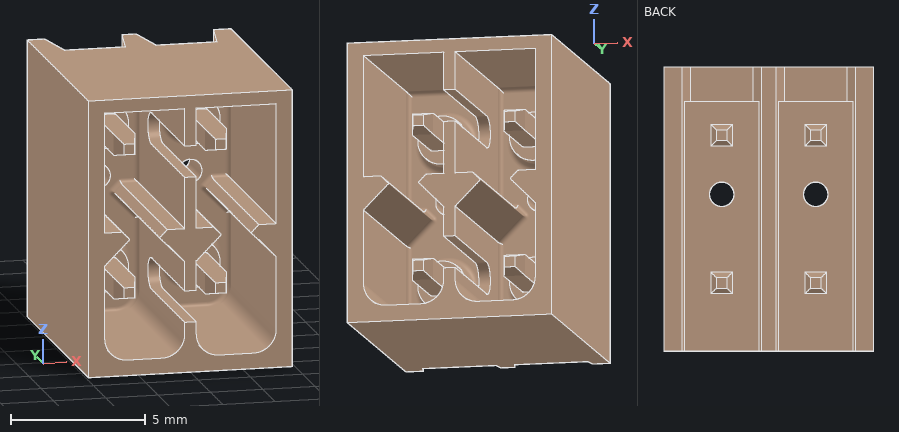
import cadquery as cq
import math


width = 7.8
depth = 10.0
height = 10.6
front_y = -depth / 2
back_y = depth / 2
top_z = height / 2

column_pitch = 3.5
row_pitch = 5.5
column_xs = [-column_pitch / 2, column_pitch / 2]
row_zs = [-row_pitch / 2, row_pitch / 2]

cavity_depth = 7.5
cavity_half_width = 1.53
cavity_top_z = 4.8
cavity_bottom_z = -4.7
cavity_corner_radius = 0.87
cavity_floor_fillet = 0.2
floor_y = front_y + cavity_depth
shoulder_z = 0.21
ridge_gap_half = 0.565
ridge_tip_radius = 0.02
ridge_tip_z = -0.09

pick_margin = 0.1

window_pitch = 5.55
window_height = 1.2
window_depth = 6.0

boss_diameter = 1.83
boss_height = 1.0
boss_base_fillet = 0.3

vent_diameter = 0.9
vent_z = 0.55

relief_half_width_outer = 1.48
relief_half_width_inner = 1.16
relief_depth = 0.5
notch_depth = 1.9
notch_height = 1.3

pin_size = 0.8
pin_tip_size = pin_size / 2
pin_taper_length = 0.8
pin_tail_length = 3.5
pin_tip_recess = 2.5
pin_front_y = front_y + pin_tip_recess
pin_back_y = back_y + pin_tail_length


def plane_along_y(x, y, z):
    """Sketch plane with local x along X and local y along Z; negative extrusions go toward +Y."""
    return cq.Workplane(cq.Plane(origin=(x, y, z), xDir=(1, 0, 0), normal=(0, -1, 0)))


def cavity(x):
    """Cavity cutter with 45-degree ridge flanks, round lower corners and a filleted floor."""
    half = cavity_half_width
    shoulder_x = ridge_gap_half + (shoulder_z - ridge_tip_z)
    flank_end_z = ridge_tip_z - (half - ridge_gap_half)
    right_side = [
        (half, cavity_top_z),
        (half, shoulder_z),
        (shoulder_x, shoulder_z),
        (ridge_gap_half, ridge_tip_z),
        (half, flank_end_z),
        (half, cavity_bottom_z),
    ]
    left_side = [(-px, pz) for px, pz in reversed(right_side)]
    cutter = plane_along_y(x, front_y, 0).polyline(right_side + left_side).close().extrude(-cavity_depth)
    lower_corners = cq.selectors.BoxSelector(
        (x - half - pick_margin, front_y, cavity_bottom_z - pick_margin),
        (x + half + pick_margin, floor_y, cavity_bottom_z + pick_margin),
    )
    cutter = cutter.edges("|Y").edges(lower_corners).fillet(cavity_corner_radius)
    ridge_tips = cq.selectors.BoxSelector(
        (x - ridge_gap_half - pick_margin, front_y, ridge_tip_z - pick_margin),
        (x + ridge_gap_half + pick_margin, floor_y, ridge_tip_z + pick_margin),
    )
    cutter = cutter.edges("|Y").edges(ridge_tips).fillet(ridge_tip_radius)
    return cutter.faces(">Y").edges().fillet(cavity_floor_fillet)


def window(z):
    """Slot cutter through the middle wall, with a half-round inner end."""
    wall = column_pitch - 2 * cavity_half_width
    radius = window_height / 2
    straight_end_y = front_y + window_depth - radius
    return (
        cq.Workplane("YZ", origin=(-wall / 2, 0, z))
        .moveTo(front_y, -radius)
        .lineTo(straight_end_y, -radius)
        .threePointArc((straight_end_y + radius, 0), (straight_end_y, radius))
        .lineTo(front_y, radius)
        .close()
        .extrude(wall)
    )


def boss(x, z):
    """Round boss on the cavity floor, flared by a fillet at its base."""
    radius = boss_diameter / 2
    foot_radius = radius + boss_base_fillet
    flare_center_y = floor_y - boss_base_fillet
    flare_offset = boss_base_fillet * math.sin(math.pi / 4)
    flare_mid = (foot_radius - flare_offset, flare_center_y + flare_offset)
    return (
        cq.Workplane("XY")
        .moveTo(0, floor_y - boss_height)
        .lineTo(radius, floor_y - boss_height)
        .lineTo(radius, flare_center_y)
        .threePointArc(flare_mid, (foot_radius, floor_y))
        .lineTo(0, floor_y)
        .close()
        .revolve(360, (0, 0, 0), (0, 1, 0))
        .translate((x, 0, z))
    )


def back_relief(x, relief, bottom_z):
    """Cutter from the back face to the given depth, from bottom_z up, along the shared side taper."""
    taper = (relief_half_width_outer - relief_half_width_inner) / notch_depth
    inner = relief_half_width_outer - taper * relief
    outline = [
        (x - relief_half_width_outer, back_y),
        (x - inner, back_y - relief),
        (x + inner, back_y - relief),
        (x + relief_half_width_outer, back_y),
    ]
    return cq.Workplane("XY", origin=(0, 0, bottom_z)).polyline(outline).close().extrude(top_z - bottom_z)


def vent(x):
    """Round hole cutter running the full length of the housing."""
    radius = vent_diameter / 2
    return plane_along_y(x, front_y, vent_z).circle(radius).extrude(-depth)


def pin(x, z):
    """Square pin tapered at both ends."""
    body_front_y = pin_front_y + pin_taper_length
    body_back_y = pin_back_y - pin_taper_length

    def taper(start_y, start_size, end_size):
        return (
            plane_along_y(x, start_y, z)
            .rect(start_size, start_size)
            .workplane(offset=-pin_taper_length)
            .rect(end_size, end_size)
            .loft(ruled=True)
        )

    shank = plane_along_y(x, body_front_y, z).rect(pin_size, pin_size).extrude(body_front_y - body_back_y)
    front_tip = taper(pin_front_y, pin_tip_size, pin_size)
    tail_tip = taper(body_back_y, pin_size, pin_tip_size)
    return shank.union(front_tip).union(tail_tip)


pins = [pin(x, z) for x in column_xs for z in row_zs]

housing = cq.Workplane("XY").box(width, depth, height)
for column_x in column_xs:
    housing = housing.cut(cavity(column_x))
    housing = housing.cut(vent(column_x))
    housing = housing.cut(back_relief(column_x, relief_depth, -top_z))
    housing = housing.cut(back_relief(column_x, notch_depth, top_z - notch_height))
for window_z in (-window_pitch / 2, window_pitch / 2):
    housing = housing.cut(window(window_z))
for row_z in row_zs:
    for column_x in column_xs:
        housing = housing.union(boss(column_x, row_z))
for pin_body in pins:
    housing = housing.cut(pin_body)

pin_solids = [pin_body.solids().val() for pin_body in pins]
result = cq.Compound.makeCompound([housing.solids().val(), *pin_solids])